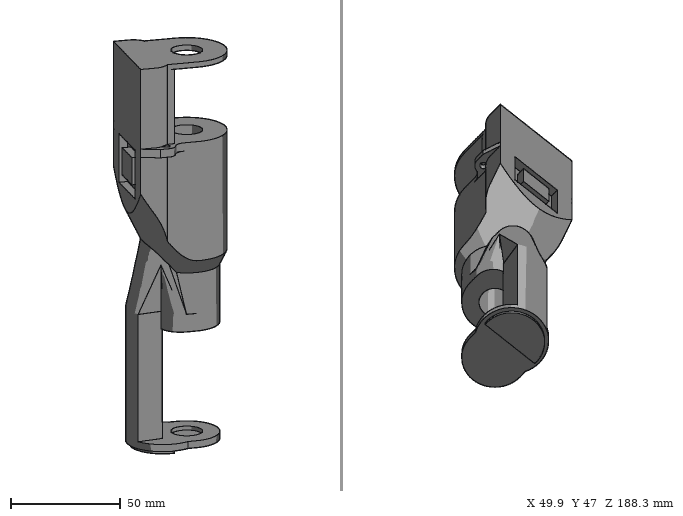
import cadquery as cq
import math


TOTAL_HEIGHT = 188.33
BARREL_RADIUS = 18.49
NECK_RADIUS = 15.2
FRONT_OFFSET = 28.5
HINGE_HOLE_RADIUS = 7.25
UPRIGHT_CLEARANCE = 1.1
LEG_CLEARANCE = 0.2
FRONT_Y = -FRONT_OFFSET

TOP_PLATE_THICKNESS = 2.6
TOP_PLATE_UNDERSIDE = TOTAL_HEIGHT - TOP_PLATE_THICKNESS
BARREL_TOP = 150.0
CONE_BOTTOM = 86.0
LEG_TOP = 66.3
NECK_BOTTOM = 57.8
FOOT_TOP = 5.1
FOOT_BASE_HEIGHT = 1.7

PLATE_HALF_WIDTH = 21.9
PLATE_SIDE_DEPTH = 7.0
PLATE_ARC_DEPTH = 13.8
LIP_DEPTH = 17.8
LIP_FILLET = 2.1

CONE_SLOPE = 0.49

POCKET_WIDTH = 25.8
POCKET_HEIGHT = 23.4
ISLAND_WIDTH = 15.4
ISLAND_HEIGHT = 13.1
POCKET_CENTRE_Z = 135.0
POCKET_DEPTH = 4.1

EAR_HALF_SPAN = 49.85 / 2
EAR_THICKNESS = 4.0
EAR_RADIUS = 4.0
EAR_HOLE_DIAMETER = 3.2
EAR_HOLE_DEPTH = 12.7
EAR_ROOT_DEPTH = 21.6
EAR_FLAT_DEPTH = 8.6

LEG_HALF_WIDTH = 9.05
LEG_BACK_HALF_WIDTH = 7.4
LEG_BACK_DEPTH = 14.9
LEG_LIP_FILLET = 0.9
LEG_SIDE_DEPTH = LEG_BACK_DEPTH - LEG_LIP_FILLET
FOOT_RADIUS = 17.0
FOOT_BASE_DEPTH = 18.1
FOOT_RECESS_DEPTH = 1.9

GUSSET_NECK_DEPTH = 23.9
GUSSET_APEX = (11.0, FRONT_Y + 12.9, 89.7)
NECK_CONTACT_DEPTH = 19.9
CONE_CONTACT_DEPTH = 16.4
CONE_CONTACT_Z = 90.0
CROWN_Z = 94.0
STRUT_TOP = 100.0
STRUT_FRONT_SLOPE = 0.212


def prism(outline, bottom, top):
    """Extrude an XY outline between two heights."""
    return outline.extrude(top - bottom).translate((0, 0, bottom))


def cylinder(radius, bottom, top, y=0.0):
    return prism(cq.Workplane("XY").center(0, y).circle(radius), bottom, top)


def box(half_width, y_front, y_back, bottom, top):
    return prism(
        cq.Workplane("XY").center(0, (y_front + y_back) / 2).rect(2 * half_width, y_back - y_front),
        bottom, top,
    )


def plate_outline(back_depth):
    """Plate with arced sides, narrowing to the barrel width and running back to back_depth."""
    arc_width = PLATE_HALF_WIDTH - BARREL_RADIUS
    arc_length = PLATE_ARC_DEPTH - PLATE_SIDE_DEPTH
    arc_radius = (arc_width ** 2 + arc_length ** 2) / (2 * arc_width)
    half_angle = math.asin(arc_length / arc_radius) / 2
    mid_x = PLATE_HALF_WIDTH - arc_radius * (1 - math.cos(half_angle))
    mid_y = FRONT_Y + PLATE_SIDE_DEPTH + arc_radius * math.sin(half_angle)
    side_y = FRONT_Y + PLATE_SIDE_DEPTH
    flank_y = FRONT_Y + PLATE_ARC_DEPTH
    back_y = FRONT_Y + back_depth
    return (
        cq.Workplane("XY")
        .moveTo(-PLATE_HALF_WIDTH, FRONT_Y)
        .lineTo(PLATE_HALF_WIDTH, FRONT_Y)
        .lineTo(PLATE_HALF_WIDTH, side_y)
        .threePointArc((mid_x, mid_y), (BARREL_RADIUS, flank_y))
        .lineTo(BARREL_RADIUS, back_y)
        .lineTo(-BARREL_RADIUS, back_y)
        .lineTo(-BARREL_RADIUS, flank_y)
        .threePointArc((-mid_x, mid_y), (-PLATE_HALF_WIDTH, side_y))
        .close()
    )


def full_section(bottom, top):
    """Plate and barrel together."""
    return prism(plate_outline(FRONT_OFFSET), bottom, top).union(cylinder(BARREL_RADIUS, bottom, top))


def make_body():
    """Barrel and plate, tapered underneath by a cone around the hinge axis."""
    cone_height = BARREL_TOP - CONE_BOTTOM
    cone = cq.Workplane("XY").add(
        cq.Solid.makeCone(NECK_RADIUS, NECK_RADIUS + CONE_SLOPE * cone_height, cone_height)
    ).translate((0, 0, CONE_BOTTOM))
    return full_section(CONE_BOTTOM, BARREL_TOP).intersect(cone)


def make_upright():
    """Plate between body and top plate, hollowed behind for the mating knuckle."""
    upright = prism(plate_outline(LIP_DEPTH), BARREL_TOP, TOP_PLATE_UNDERSIDE)
    upright = upright.edges("|Z and >Y").fillet(LIP_FILLET)
    clearance = cylinder(BARREL_RADIUS + UPRIGHT_CLEARANCE, BARREL_TOP, TOP_PLATE_UNDERSIDE)
    return upright.cut(clearance)


def make_ear():
    """Ear on the +X side, rounded about its hole and blended into the barrel flank."""
    hole_x = EAR_HALF_SPAN - EAR_RADIUS
    hole_y = FRONT_Y + EAR_HOLE_DEPTH
    root_y = FRONT_Y + EAR_ROOT_DEPTH
    reach_x = hole_x - BARREL_RADIUS
    reach_y = root_y - hole_y
    blend_radius = (reach_x ** 2 + reach_y ** 2 - EAR_RADIUS ** 2) / (2 * (reach_x + EAR_RADIUS))
    blend_x = BARREL_RADIUS + blend_radius
    blend_angle = math.atan2(reach_y, blend_x - hole_x)
    half_round = blend_angle / 2
    half_blend = math.pi + half_round
    tangent = (
        hole_x + EAR_RADIUS * math.cos(blend_angle),
        hole_y + EAR_RADIUS * math.sin(blend_angle),
    )
    round_mid = (
        hole_x + EAR_RADIUS * math.cos(half_round),
        hole_y + EAR_RADIUS * math.sin(half_round),
    )
    blend_mid = (
        blend_x + blend_radius * math.cos(half_blend),
        root_y + blend_radius * math.sin(half_blend),
    )
    outline = (
        cq.Workplane("XY")
        .moveTo(0, FRONT_Y)
        .lineTo(PLATE_HALF_WIDTH, FRONT_Y)
        .lineTo(EAR_HALF_SPAN, FRONT_Y + EAR_FLAT_DEPTH)
        .lineTo(EAR_HALF_SPAN, hole_y)
        .threePointArc(round_mid, tangent)
        .threePointArc(blend_mid, (BARREL_RADIUS, root_y))
        .lineTo(0, root_y)
        .close()
    )
    return prism(outline, BARREL_TOP - EAR_THICKNESS, BARREL_TOP)


def ear_hole():
    """Hole through the thickness of the +X ear."""
    return prism(
        cq.Workplane("XY")
        .center(EAR_HALF_SPAN - EAR_RADIUS, FRONT_Y + EAR_HOLE_DEPTH)
        .circle(EAR_HOLE_DIAMETER / 2),
        BARREL_TOP - EAR_THICKNESS, BARREL_TOP,
    )


def front_pocket():
    """Rectangular ring cut into the front face around a flush island."""
    def block(width, height):
        return cq.Workplane("XY").box(width, POCKET_DEPTH, height).translate(
            (0, FRONT_Y + POCKET_DEPTH / 2, POCKET_CENTRE_Z)
        )
    return block(POCKET_WIDTH, POCKET_HEIGHT).cut(block(ISLAND_WIDTH, ISLAND_HEIGHT))


def leg_front_depth():
    """Depth at which the leg's curved front meets its flat sides."""
    return FOOT_RADIUS - math.sqrt(FOOT_RADIUS ** 2 - LEG_HALF_WIDTH ** 2)


def flank_arc_middle():
    """Middle of the arc, tangent to the neck's straight side, that runs from leg to neck shoulder."""
    width = NECK_RADIUS - LEG_BACK_HALF_WIDTH
    length = GUSSET_NECK_DEPTH - LEG_SIDE_DEPTH
    radius = (width ** 2 + length ** 2) / (2 * width)
    half_angle = math.asin(length / radius) / 2
    return (
        NECK_RADIUS - radius * (1 - math.cos(half_angle)),
        FRONT_Y + GUSSET_NECK_DEPTH - radius * math.sin(half_angle),
    )


def make_neck():
    """Round neck with its narrowing front block that meets the leg."""
    side_y = FRONT_Y + LEG_SIDE_DEPTH
    shoulder_y = FRONT_Y + GUSSET_NECK_DEPTH
    mid_x, mid_y = flank_arc_middle()
    block = (
        cq.Workplane("XY")
        .moveTo(LEG_BACK_HALF_WIDTH, side_y)
        .threePointArc((mid_x, mid_y), (NECK_RADIUS, shoulder_y))
        .lineTo(NECK_RADIUS, 0)
        .lineTo(-NECK_RADIUS, 0)
        .lineTo(-NECK_RADIUS, shoulder_y)
        .threePointArc((-mid_x, mid_y), (-LEG_BACK_HALF_WIDTH, side_y))
        .close()
    )
    return cylinder(NECK_RADIUS, NECK_BOTTOM, CONE_BOTTOM).union(prism(block, NECK_BOTTOM, LEG_TOP))


def make_leg():
    """Leg with a rounded front, sides that narrow rearward and a hollowed back."""
    front_depth = leg_front_depth()
    back_y = FRONT_Y + LEG_BACK_DEPTH
    side_slope = (LEG_HALF_WIDTH - LEG_BACK_HALF_WIDTH) / (LEG_BACK_DEPTH - front_depth)
    front_half_width = LEG_HALF_WIDTH + side_slope * front_depth
    trapezoid = cq.Workplane("XY").polyline([
        (-front_half_width, FRONT_Y), (front_half_width, FRONT_Y),
        (LEG_BACK_HALF_WIDTH, back_y), (-LEG_BACK_HALF_WIDTH, back_y),
    ]).close()
    leg = prism(trapezoid, FOOT_BASE_HEIGHT, LEG_TOP)
    leg = leg.edges("|Z and >Y").fillet(LEG_LIP_FILLET)
    leg = leg.intersect(cylinder(FOOT_RADIUS, FOOT_BASE_HEIGHT, LEG_TOP, FRONT_Y + FOOT_RADIUS))
    return leg.cut(cylinder(NECK_RADIUS + LEG_CLEARANCE, FOOT_TOP, NECK_BOTTOM))


def make_foot():
    """Bottom plate: hinge lobe joined to a wider front disc on a smaller stepped base."""
    disc_y = FRONT_Y + FOOT_RADIUS
    foot = cylinder(NECK_RADIUS, FOOT_BASE_HEIGHT, FOOT_TOP)
    foot = foot.union(box(NECK_RADIUS, disc_y, 0, FOOT_BASE_HEIGHT, FOOT_TOP))
    foot = foot.union(cylinder(FOOT_RADIUS, FOOT_BASE_HEIGHT, FOOT_TOP, disc_y))
    base = cylinder(NECK_RADIUS, 0, FOOT_BASE_HEIGHT, disc_y)
    base = base.intersect(box(FOOT_RADIUS, FRONT_Y, FRONT_Y + FOOT_BASE_DEPTH, 0, FOOT_BASE_HEIGHT))
    recess = cylinder(HINGE_HOLE_RADIUS, FOOT_TOP - FOOT_RECESS_DEPTH, FOOT_TOP)
    return foot.union(base).cut(recess)


def make_strut():
    """Leaning strut with a curved front that carries the leg into the tapered body."""
    rise = STRUT_TOP - LEG_TOP
    apex_x, apex_y, apex_z = GUSSET_APEX
    stretch = rise / (apex_z - LEG_TOP)
    foot_side_y = FRONT_Y + leg_front_depth()
    top_half_width = LEG_HALF_WIDTH + stretch * (apex_x - LEG_HALF_WIDTH)
    top_side_y = foot_side_y + stretch * (apex_y - foot_side_y)
    top_front_y = FRONT_Y + STRUT_FRONT_SLOPE * rise
    return (
        cq.Workplane("XY").workplane(offset=LEG_TOP)
        .moveTo(-LEG_HALF_WIDTH, foot_side_y)
        .threePointArc((0, FRONT_Y), (LEG_HALF_WIDTH, foot_side_y))
        .close()
        .workplane(offset=rise)
        .moveTo(-top_half_width, top_side_y)
        .threePointArc((0, top_front_y), (top_half_width, top_side_y))
        .close()
        .loft(ruled=True)
    )


def make_gusset():
    """Wedge that fills between strut, leg and neck, with a conical bulge on each flank."""
    strut_side_y = FRONT_Y + leg_front_depth()
    neck_contact_y = FRONT_Y + NECK_CONTACT_DEPTH
    cone_contact_y = FRONT_Y + CONE_CONTACT_DEPTH
    cone_radius = NECK_RADIUS + CONE_SLOPE * (CONE_CONTACT_Z - CONE_BOTTOM)
    edge_growth = (CROWN_Z - LEG_TOP) / (GUSSET_APEX[2] - LEG_TOP)
    right = {
        "front": (LEG_HALF_WIDTH, strut_side_y, LEG_TOP),
        "back": (LEG_BACK_HALF_WIDTH, FRONT_Y + LEG_SIDE_DEPTH, LEG_TOP),
        "shoulder": (NECK_RADIUS, FRONT_Y + GUSSET_NECK_DEPTH, LEG_TOP),
        "apex": GUSSET_APEX,
        "crown": (
            LEG_HALF_WIDTH + edge_growth * (GUSSET_APEX[0] - LEG_HALF_WIDTH),
            strut_side_y + edge_growth * (GUSSET_APEX[1] - strut_side_y),
            CROWN_Z,
        ),
        "neck": (math.sqrt(NECK_RADIUS ** 2 - neck_contact_y ** 2), neck_contact_y, CONE_BOTTOM),
        "cone": (math.sqrt(cone_radius ** 2 - cone_contact_y ** 2), cone_contact_y, CONE_CONTACT_Z),
    }
    left = {name: (-x, y, z) for name, (x, y, z) in right.items()}

    def face(points):
        wire = cq.Wire.makePolygon([cq.Vector(*point) for point in points], close=True)
        return cq.Face.makeFromWires(wire)

    flank = (
        ("front", "back", "apex"),
        ("back", "shoulder", "apex"),
        ("shoulder", "cone", "apex"),
        ("apex", "cone", "crown"),
        ("shoulder", "neck", "cone"),
    )
    faces = [face([side[name] for name in corners]) for corners in flank for side in (right, left)]
    rear = ("front", "apex", "crown", "cone", "neck", "shoulder")
    for start, end in zip(rear, rear[1:]):
        faces.append(face([right[start], right[end], left[end], left[start]]))
    base = ("front", "back", "shoulder")
    faces.append(face([right[name] for name in base] + [left[name] for name in reversed(base)]))
    wedge = cq.Workplane("XY").add(cq.Solid.makeSolid(cq.Shell.makeShell(faces)))

    arc = cq.Edge.makeThreePointArc(
        cq.Vector(*right["back"]), cq.Vector(*flank_arc_middle(), LEG_TOP), cq.Vector(*right["shoulder"])
    )
    chord = cq.Edge.makeLine(cq.Vector(*right["shoulder"]), cq.Vector(*right["back"]))
    segment = cq.Wire.assembleEdges([arc, chord])
    tip = cq.Vertex.makeVertex(*right["apex"])
    cone_sector = cq.occ_impl.shapes.loft(cq.Face.makeFromWires(segment), tip, ruled=True, cap=True)
    bulge = cq.Workplane("XY").add(cone_sector)
    return wedge.union(bulge).union(bulge.mirror("YZ"))


def make_part():
    ear = make_ear()
    hole = ear_hole()
    part = make_body()
    part = part.union(make_upright())
    part = part.union(full_section(TOP_PLATE_UNDERSIDE, TOTAL_HEIGHT))
    part = part.union(ear).union(ear.mirror("YZ"))
    part = part.union(make_neck()).union(make_leg()).union(make_foot())
    part = part.union(make_strut()).union(make_gusset())
    part = part.cut(cylinder(HINGE_HOLE_RADIUS, NECK_BOTTOM, TOTAL_HEIGHT))
    part = part.cut(front_pocket())
    return part.cut(hole).cut(hole.mirror("YZ"))


result = make_part().solids()